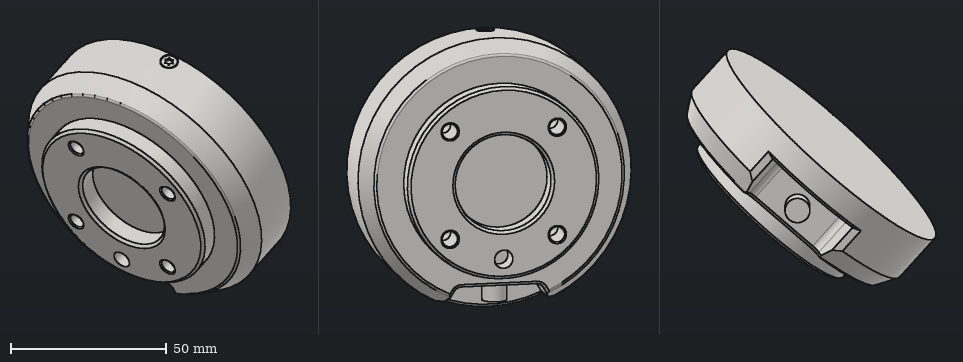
import cadquery as cq
import math

body_radius = 45.05
straight_depth = 17.0
taper_angle = 30
shoulder_depth = 24.1
rim_fillet = 1.0

boss_radius = 31.5
total_depth = 30.5
edge_chamfer = 1.0

recess_radius = 15.8
recess_depth = 6.85

pitch_radius = 25.0
bolt_hole_radius = 2.5
bolt_hole_depth = 10.8
bolt_hole_chamfer = 0.45
drill_point_angle = 118
locating_hole_radius = 3.0
locating_hole_depth = 7.2

ledge_depth = 9
notch_top_drop = 35.05
notch_top_half_width = 14.0
notch_side_drop = 40.45
notch_side_angle = 60
notch_corner_radius = 3.0
ledge_chamfer_depth = 0.9
ledge_chamfer_height = 1.0

pin_diameter = 8.0
pin_depth = 16.5
pin_end_drop = 41.0
pin_seat = 7.2

screw_radius = 2.7
screw_depth = 3.1
screw_length = 9
screw_mouth_chamfer = 0.3
socket_tip_radius = 1.5
socket_valley_radius = 1.1
socket_depth = 0.7
socket_points = 6


def front_plane(depth, x=0, z=0):
    """Workplane facing -Y, `depth` in front of the rear face."""
    return cq.Workplane("XZ", origin=(x, -depth, z))


def turned_body():
    """Disc with a tapered, rounded front rim and a chamfered boss, turned about the Y axis."""
    taper_depth = shoulder_depth - straight_depth
    shoulder_radius = body_radius - taper_depth * math.tan(math.radians(taper_angle))
    profile = [
        (0, 0),
        (0, body_radius),
        (-straight_depth, body_radius),
        (-shoulder_depth, shoulder_radius),
        (-shoulder_depth, boss_radius),
        (edge_chamfer - total_depth, boss_radius),
        (-total_depth, boss_radius - edge_chamfer),
        (-total_depth, 0),
    ]
    body = cq.Workplane("YZ").polyline(profile).close().revolve(360, (0, 0), (1, 0))
    shoulder_rim = cq.selectors.RadiusNthSelector(2)
    return body.edges("%CIRCLE").edges(shoulder_rim).fillet(rim_fillet)


def chamfered_bore(radius, depth, chamfer, x=0, z=0):
    """Flat-bottomed cutter from the boss face, widened by a 45 degree chamfer at its mouth."""
    bore = front_plane(total_depth, x, z).circle(radius).extrude(-depth)
    mouth = cq.Solid.makeCone(
        radius + chamfer, radius, chamfer, pnt=cq.Vector(x, -total_depth, z), dir=cq.Vector(0, 1, 0)
    )
    return bore.union(mouth)


def bolt_hole(x, z):
    """Chamfered cutter with a conical drill point."""
    point_height = bolt_hole_radius / math.tan(math.radians(drill_point_angle / 2))
    bottom = cq.Vector(x, bolt_hole_depth - total_depth, z)
    point = cq.Solid.makeCone(bolt_hole_radius, 0, point_height, pnt=bottom, dir=cq.Vector(0, 1, 0))
    return chamfered_bore(bolt_hole_radius, bolt_hole_depth, bolt_hole_chamfer, x, z).union(point)


def notch():
    """Cutter for the notch: sloping sides that end level, rounded corners, chamfered front edge."""
    side_run = (notch_side_drop - notch_top_drop) / math.tan(math.radians(notch_side_angle))
    side_half_width = notch_top_half_width + side_run
    clear = body_radius + edge_chamfer
    outline = [
        (-notch_top_half_width, -notch_top_drop),
        (notch_top_half_width, -notch_top_drop),
        (side_half_width, -notch_side_drop),
        (clear, -notch_side_drop),
        (clear, -clear),
        (-clear, -clear),
        (-clear, -notch_side_drop),
        (-side_half_width, -notch_side_drop),
    ]
    prism = (
        front_plane(ledge_depth)
        .polyline(outline)
        .close()
        .extrude(shoulder_depth - ledge_depth)
        .edges("|Y and >Z")
        .fillet(notch_corner_radius)
    )
    section = prism.faces("<Y").wires().val()
    flare = (
        cq.Workplane("XZ")
        .add(section.translate(cq.Vector(0, shoulder_depth, 0)))
        .toPending()
        .extrude(edge_chamfer, taper=-45)
        .translate((0, edge_chamfer - shoulder_depth, 0))
    )
    return prism.union(flare)


def ledge_bevel():
    """Ring cutter that bevels the front edge of the ledge, confined to the notch."""
    profile = [
        (-ledge_depth, body_radius - ledge_chamfer_height),
        (-ledge_depth, body_radius),
        (ledge_chamfer_depth - ledge_depth, body_radius),
    ]
    ring = cq.Workplane("YZ").polyline(profile).close().revolve(360, (0, 0), (1, 0))
    return ring.intersect(notch().translate((0, ledge_chamfer_depth, 0)))


def make_notch_pin():
    """Plain cylinder that stands vertically in the notch, seated in its upper wall."""
    seat_top = pin_seat - notch_top_drop
    return (
        cq.Workplane("XY", origin=(0, -pin_depth, seat_top))
        .circle(pin_diameter / 2)
        .extrude(-pin_end_drop - seat_top)
    )


def screw_blank():
    """Vertical cylinder that fills the set screw hole, flush with the top of the rim."""
    top_plane = cq.Workplane("XY", origin=(0, -screw_depth, body_radius))
    return top_plane.circle(screw_radius).extrude(-screw_length)


def screw_hole():
    """Cutter for the set screw: its cylinder with a 45 degree chamfer around the mouth."""
    mouth = cq.Solid.makeCone(
        screw_radius,
        screw_radius + screw_mouth_chamfer,
        screw_mouth_chamfer,
        pnt=cq.Vector(0, -screw_depth, body_radius - screw_mouth_chamfer),
    )
    return screw_blank().union(mouth)


def make_set_screw():
    """Headless screw with a six-pointed star socket."""
    socket = cq.Workplane("XY", origin=(0, -screw_depth, body_radius)).moveTo(socket_tip_radius, 0)
    for point in range(socket_points):
        valley = math.tau * (point + 0.5) / socket_points
        tip = math.tau * (point + 1) / socket_points
        socket = socket.threePointArc(
            (socket_valley_radius * math.cos(valley), socket_valley_radius * math.sin(valley)),
            (socket_tip_radius * math.cos(tip), socket_tip_radius * math.sin(tip)),
        )
    return screw_blank().cut(socket.close().extrude(-socket_depth))


def make_housing(notch_pin):
    """Turned body with its recess, holes, notch, and seats for the pin and the set screw."""
    housing = turned_body().cut(chamfered_bore(recess_radius, recess_depth, edge_chamfer))
    hole_offset = pitch_radius * math.cos(math.radians(45))
    for x in (-hole_offset, hole_offset):
        for z in (-hole_offset, hole_offset):
            housing = housing.cut(bolt_hole(x, z))
    locating_hole = front_plane(total_depth, z=-pitch_radius).circle(locating_hole_radius)
    housing = housing.cut(locating_hole.extrude(-locating_hole_depth))
    housing = housing.cut(notch()).cut(ledge_bevel())
    return housing.cut(notch_pin).cut(screw_hole())


notch_pin = make_notch_pin()
set_screw = make_set_screw()
housing = make_housing(notch_pin)

bodies = (housing, notch_pin, set_screw)
result = cq.Compound.makeCompound([body.solids().val() for body in bodies])